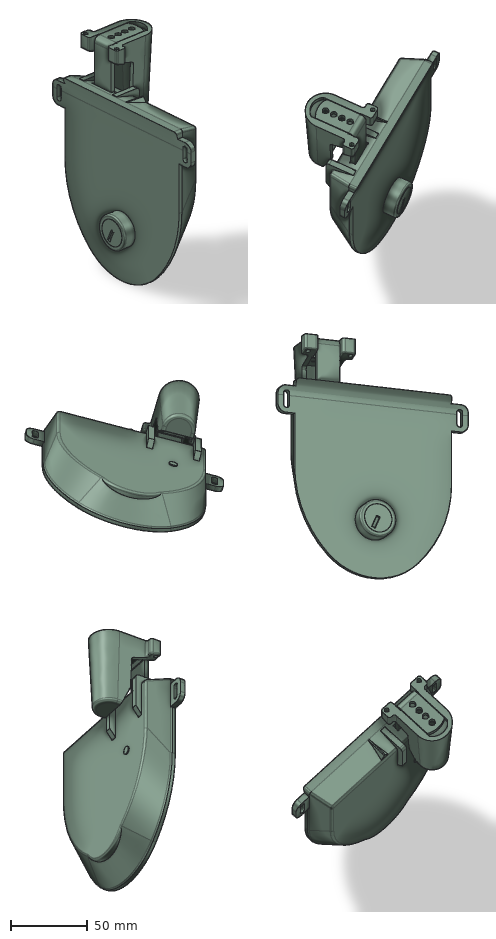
import cadquery as cq
import math

FLARE_Y = -21.8
FRONT_Y = -19.4
RIM_REAR_Y = -17.0
EAR_REAR_Y = -15.8
REAR_Y = 0.8

HALF_HEIGHT = 81.5
COVER_TOP = 48.4
RIM_HALF_WIDTH = 55.3
RIM_BOTTOM_RADIUS = 44.8
BODY_INSET = 0.7
REAR_HALF_WIDTH = 50.2
REAR_TOP = 43.7
REAR_BOTTOM = -62.9
REAR_BOTTOM_RADIUS = 32.6
RIM_TANGENT_Z = -11.4
REAR_TANGENT_Z = 6.5
FLARE_START_Z = 36.3
BODY_FILLET = 2.0
LIP_CORNER_RADIUS = 2.0
LIP_HALF_WIDTH = 54.8

EAR_HALF_SPAN = 67.0
EAR_TOP = 43.2
EAR_BOTTOM = 24.8
EAR_RADIUS = 5.4
SLOT_X = 61.0
SLOT_WIDTH = 4.0
SLOT_LENGTH = 11.9

LOCK_Z = -43.2
LOCK_RADIUS = 12.7
LOCK_FRONT_Y = -28.4
LOCK_FILLET = 1.1
PLUG_RADIUS = 9.6
PLUG_RECESS = 0.2
KEY_WIDTH = 2.5
KEY_LENGTH = 8.6
KEY_DEPTH = 1.6
KEY_ANGLE = 24.0
KEY_X = -1.5
KEY_Z = -46.0
LOCK_BOSS_RADIUS = 24.5
LOCK_BOSS_FILLET = 1.6

LATCH_X = -28.0
LATCH_HALF_WIDTH = 18.0

RIB_WIDTH = 4.0
RIB_FRONT_Y = -14.8
RIB_REAR_Y = 5.4
RIB_FILLET = 2.5
RIB_FOOT_Z = 23.6
RIB_END_Z = 18.0
FIN_HALF_WIDTH = 4.9
FIN_RIDGE_HALF_WIDTH = 0.5
FIN_TIP_HALF_WIDTH = 0.8
FIN_REAR_Y = -0.7
FIN_TOP = 47.6

STRAP_HALF_WIDTH = 8.0
STRAP_THICKNESS = 3.3
STRAP_FRONT_Y = -10.8
STRAP_BOTTOM = -6.5
STRAP_BEND = 4.5
STRAP_END_Y = 20.5
STRAP_END_RADIUS = 16.5
STRAP_HOLE_RADIUS = 2.1
HOLE_REAR_Y = 15.0
HOLE_PITCH = 6.0
HOLE_COUNT = 4
STRAP_SLOT_FRONT_Y = -11.9
STRAP_SLOT_SIDE_GAP = 1.1
SCREW_RADIUS = 2.8
SCREW_Z = -0.5
SCREW_REAR_Y = 1.6

CUP_BOTTOM = 26.4
CUP_CENTRE_Y = 15.0
CUP_RADIUS = 13.4
CUP_WALL = 3.1
CUP_TAPER = 2.7
CUP_FRONT_Y = -14.7
CUP_LEG_Y = 5.2
CUP_LEG_BREAK_Z = 41.5
CUP_LEG_BOTTOM_Y = 12.0
CUP_ARM_FRONT_Z = 71.4
CUP_ARM_REAR_Z = 64.9
CUP_ARM_FILLET = 2.5
CUP_CEILING = 72.5
CUP_CAVITY_FRONT_Y = -5.2
CUP_BOTTOM_FILLET = 2.6
RECESS_HALF_WIDTH = 8.3
ARM_GAP_HALF_WIDTH = 8.6
ARM_GAP_REAR_Y = -6.0
BLOCK_REAR_Y = -6.5
BLOCK_FILLET = 1.6
BLOCK_LOWER_FILLET = 1.1
BLOCK_EDGE_LOW_Z = 69.8
BLOCK_EDGE_HIGH_Z = 79.9
SELECT_MARGIN = 0.2
PIN_HOLE_SPACING = 29.8
PIN_HOLE_Y = -12.0
PIN_HOLE_RADIUS = 1.5
CUP_HOLE_RADIUS = 1.6
CUP_HOLE_PLACES = (0, 2)


def box(x_range, y_range, z_range):
    """Box between the given limits."""
    size = [limits[1] - limits[0] for limits in (x_range, y_range, z_range)]
    corner = (x_range[0], y_range[0], z_range[0])
    return cq.Workplane("XY").box(*size, centered=False).translate(corner)


def rod_y(x, z, radius, y_front, y_rear):
    """Cylinder along Y."""
    plane = cq.Workplane("XZ", origin=(x, y_rear, z))
    return plane.circle(radius).extrude(y_rear - y_front)


def side_profile(points, x_start, width):
    """Prism along X from an outline of (Y, Z) points."""
    return cq.Workplane("YZ", origin=(x_start, 0, 0)).polyline(points).close().extrude(width)



def shield(y, half_width, top, bottom, bottom_radius, tangent_z):
    """Shield wire at level y: straight top and sides, then tangent side arcs and a bottom arc."""
    bottom_centre = bottom + bottom_radius
    drop = tangent_z - bottom_centre
    side_radius = (half_width**2 + drop**2 - bottom_radius**2) / (2 * (half_width - bottom_radius))
    side_centre = half_width - side_radius
    join_angle = math.atan2(-drop, -side_centre)

    def side_point(angle):
        x = side_centre + side_radius * math.cos(angle)
        return x, tangent_z + side_radius * math.sin(angle)

    middle = side_point(join_angle / 2)
    join = side_point(join_angle)
    return (
        cq.Workplane("XZ", origin=(0, y, 0))
        .moveTo(-half_width, top)
        .lineTo(half_width, top)
        .lineTo(half_width, tangent_z)
        .threePointArc(middle, join)
        .threePointArc((0, bottom), (-join[0], join[1]))
        .threePointArc((-middle[0], middle[1]), (-half_width, tangent_z))
        .close()
        .wire()
        .val()
    )


def ruled_solid(front_wire, rear_wire):
    return cq.Workplane(cq.Solid.makeLoft([front_wire, rear_wire], True))


def rim_outline():
    return shield(
        RIM_REAR_Y, RIM_HALF_WIDTH, COVER_TOP, -HALF_HEIGHT, RIM_BOTTOM_RADIUS, RIM_TANGENT_Z
    )


def trim_lip(cover):
    """Narrow the top lip above the ears and round its upper corners."""
    lip_space = (
        box((-LIP_HALF_WIDTH, LIP_HALF_WIDTH), (FLARE_Y, EAR_REAR_Y), (EAR_TOP, COVER_TOP))
        .edges("|Y and >Z")
        .fillet(LIP_CORNER_RADIUS)
    )
    around_lip = box(
        (-EAR_HALF_SPAN, EAR_HALF_SPAN), (FLARE_Y, EAR_REAR_Y), (EAR_TOP, COVER_TOP)
    ).cut(lip_space)
    return cover.cut(around_lip)


def make_body():
    """Tapered body behind the rim, rounded along its rear and upper side edges."""
    front = shield(
        EAR_REAR_Y,
        RIM_HALF_WIDTH - BODY_INSET,
        COVER_TOP,
        BODY_INSET - HALF_HEIGHT,
        RIM_BOTTOM_RADIUS - BODY_INSET,
        RIM_TANGENT_Z,
    )
    rear = shield(
        REAR_Y, REAR_HALF_WIDTH, REAR_TOP, REAR_BOTTOM, REAR_BOTTOM_RADIUS, REAR_TANGENT_Z
    )
    body = ruled_solid(front, rear)
    upper_corners = cq.selectors.BoxSelector(
        (-RIM_HALF_WIDTH, EAR_REAR_Y + SELECT_MARGIN, REAR_TOP + SELECT_MARGIN),
        (RIM_HALF_WIDTH, REAR_Y - SELECT_MARGIN, COVER_TOP - SELECT_MARGIN),
    )
    body = body.edges(upper_corners).fillet(BODY_FILLET)
    body = body.faces(">Y").edges().fillet(BODY_FILLET)
    return body.union(ruled_solid(rim_outline(), front))


def make_rim_and_ears():
    """Front plate with two slotted ears and a top lip that curves forward."""
    depth = RIM_REAR_Y - FLARE_Y
    rim = cq.Workplane(cq.Solid.extrudeLinear(rim_outline(), [], cq.Vector(0, -depth, 0)))
    ears = box(
        (-EAR_HALF_SPAN, EAR_HALF_SPAN), (FLARE_Y, EAR_REAR_Y), (EAR_BOTTOM, EAR_TOP)
    ).edges("|Y").fillet(EAR_RADIUS)
    slots = (
        cq.Workplane("XZ", origin=(0, EAR_REAR_Y, (EAR_TOP + EAR_BOTTOM) / 2))
        .pushPoints([(-SLOT_X, 0), (SLOT_X, 0)])
        .slot2D(SLOT_LENGTH, SLOT_WIDTH, 90)
        .extrude(EAR_REAR_Y - FLARE_Y)
    )
    rise = COVER_TOP - FLARE_START_Z
    flare = FRONT_Y - FLARE_Y
    flare_radius = (rise**2 + flare**2) / (2 * flare)
    half_angle = math.atan2(flare, rise)
    middle = (
        FRONT_Y - flare_radius * (1 - math.cos(half_angle)),
        FLARE_START_Z + flare_radius * math.sin(half_angle),
    )
    in_front = (
        cq.Workplane("YZ", origin=(-EAR_HALF_SPAN, 0, 0))
        .moveTo(FRONT_Y, -HALF_HEIGHT)
        .lineTo(FRONT_Y, FLARE_START_Z)
        .threePointArc(middle, (FLARE_Y, COVER_TOP))
        .lineTo(FLARE_Y, -HALF_HEIGHT)
        .close()
        .extrude(2 * EAR_HALF_SPAN)
    )
    return rim.union(ears).cut(slots).cut(in_front)


def make_rib(x_start):
    """Upright wall beside the strap, with a sloped foot."""
    rib = side_profile(
        [
            (RIB_FRONT_Y, COVER_TOP),
            (RIB_REAR_Y, COVER_TOP),
            (RIB_REAR_Y, RIB_FOOT_Z),
            (REAR_Y, RIB_END_Z),
            (RIB_FRONT_Y, RIB_END_Z),
        ],
        x_start,
        RIB_WIDTH,
    )
    return rib.edges("|X and >Z and >Y").fillet(RIB_FILLET)


def make_fin():
    """Fin on the sloped top that narrows toward the lip and has a narrow flat ridge."""

    def section(y, half_width, base_z, top_z):
        corners = [
            (-half_width, base_z),
            (half_width, base_z),
            (FIN_RIDGE_HALF_WIDTH, top_z),
            (-FIN_RIDGE_HALF_WIDTH, top_z),
        ]
        return cq.Wire.makePolygon([cq.Vector(x, y, z) for x, z in corners], close=True)

    rear = section(FIN_REAR_Y, FIN_HALF_WIDTH, REAR_TOP - BODY_FILLET, FIN_TOP)
    tip = section(EAR_REAR_Y, FIN_TIP_HALF_WIDTH, COVER_TOP - BODY_FILLET, COVER_TOP)
    return ruled_solid(rear, tip)


def add_lock(cover):
    """Lock barrel with a plug face and a tilted key slot, and its round boss at the rear."""
    boss = rod_y(0, LOCK_Z, LOCK_BOSS_RADIUS, EAR_REAR_Y, REAR_Y)
    boss = boss.faces(">Y").edges().fillet(LOCK_BOSS_FILLET)
    barrel = rod_y(0, LOCK_Z, LOCK_RADIUS, LOCK_FRONT_Y, EAR_REAR_Y)
    barrel = barrel.faces("<Y").edges().fillet(LOCK_FILLET)
    plug_y = LOCK_FRONT_Y + PLUG_RECESS
    plug_recess = rod_y(0, LOCK_Z, PLUG_RADIUS, LOCK_FRONT_Y, plug_y)
    key_slot = (
        cq.Workplane("XZ", origin=(KEY_X, plug_y + KEY_DEPTH, KEY_Z))
        .transformed(rotate=(0, 0, -KEY_ANGLE))
        .rect(KEY_WIDTH, KEY_LENGTH)
        .extrude(KEY_DEPTH + PLUG_RECESS)
    )
    return cover.union(boss).union(barrel).cut(plug_recess).cut(key_slot)


def make_cover():
    cover = trim_lip(make_rim_and_ears().union(make_body()))
    cover = cover.union(make_rib(LATCH_X - LATCH_HALF_WIDTH))
    cover = cover.union(make_rib(LATCH_X + LATCH_HALF_WIDTH - RIB_WIDTH))
    cover = cover.union(make_fin())
    cover = cover.union(rod_y(LATCH_X, SCREW_Z, SCREW_RADIUS, 0, SCREW_REAR_Y))
    cover = add_lock(cover)
    slot_half_width = STRAP_HALF_WIDTH + STRAP_SLOT_SIDE_GAP
    strap_slot = box(
        (LATCH_X - slot_half_width, LATCH_X + slot_half_width),
        (STRAP_SLOT_FRONT_Y, STRAP_FRONT_Y + STRAP_THICKNESS),
        (STRAP_BOTTOM, COVER_TOP),
    )
    return cover.cut(strap_slot)



def hole_rods(places, radius, bottom_z):
    """Vertical rods through the chosen places of the row of holes along the strap's top."""
    points = [(LATCH_X, HOLE_REAR_Y - HOLE_PITCH * i) for i in places]
    plane = cq.Workplane("XY", origin=(0, 0, bottom_z))
    return plane.pushPoints(points).circle(radius).extrude(HALF_HEIGHT - bottom_z)


def make_strap():
    """Flat strap, bent to the rear at the top, with a round end and a row of holes."""
    rear_y = STRAP_FRONT_Y + STRAP_THICKNESS
    under_z = HALF_HEIGHT - STRAP_THICKNESS
    strap = side_profile(
        [
            (STRAP_FRONT_Y, STRAP_BOTTOM),
            (STRAP_FRONT_Y, HALF_HEIGHT),
            (STRAP_END_Y, HALF_HEIGHT),
            (STRAP_END_Y, under_z),
            (rear_y, under_z),
            (rear_y, STRAP_BOTTOM),
        ],
        LATCH_X - STRAP_HALF_WIDTH,
        2 * STRAP_HALF_WIDTH,
    )
    strap = strap.edges("|X and >Z and <Y").fillet(STRAP_BEND)
    inner_bend = cq.selectors.NearestToPointSelector((LATCH_X, rear_y, under_z))
    strap = strap.edges(inner_bend).fillet(STRAP_BEND - STRAP_THICKNESS)
    end_centre_y = STRAP_END_Y - STRAP_END_RADIUS
    end_disc = cq.Workplane("XY").center(LATCH_X, end_centre_y)
    end_disc = end_disc.circle(STRAP_END_RADIUS).extrude(HALF_HEIGHT)
    lower_part = box(
        (LATCH_X - STRAP_HALF_WIDTH, LATCH_X + STRAP_HALF_WIDTH),
        (STRAP_FRONT_Y, end_centre_y),
        (STRAP_BOTTOM, HALF_HEIGHT),
    )
    strap = strap.intersect(end_disc.union(lower_part))
    return strap.cut(hole_rods(range(HOLE_COUNT), STRAP_HOLE_RADIUS, under_z))



def tapered_u(radius, front_y, top_z, bottom_z):
    """U shape, round to the rear, that narrows downward from its size at the cup's top."""
    length = HALF_HEIGHT - bottom_z
    early_front = front_y - length * math.tan(math.radians(CUP_TAPER))
    u_shape = (
        cq.Workplane("XY", origin=(LATCH_X, 0, HALF_HEIGHT))
        .moveTo(-radius, early_front)
        .lineTo(radius, early_front)
        .lineTo(radius, CUP_CENTRE_Y)
        .threePointArc((0, CUP_CENTRE_Y + radius), (-radius, CUP_CENTRE_Y))
        .close()
        .extrude(-length, taper=CUP_TAPER)
    )
    limits = box(
        (LATCH_X - radius, LATCH_X + radius),
        (front_y, CUP_CENTRE_Y + radius),
        (bottom_z, top_z),
    )
    return u_shape.intersect(limits)


def cup_side_profile():
    """Side outline of the cup: forward arms at the top and a leg with a sloped front at the bottom."""
    rear_y = CUP_CENTRE_Y + CUP_RADIUS
    profile = side_profile(
        [
            (CUP_FRONT_Y, HALF_HEIGHT),
            (CUP_FRONT_Y, CUP_ARM_FRONT_Z),
            (CUP_LEG_Y, CUP_ARM_REAR_Z),
            (CUP_LEG_Y, CUP_LEG_BREAK_Z),
            (CUP_LEG_BOTTOM_Y, CUP_BOTTOM),
            (rear_y, CUP_BOTTOM),
            (rear_y, HALF_HEIGHT),
        ],
        LATCH_X - LATCH_HALF_WIDTH,
        2 * LATCH_HALF_WIDTH,
    )
    arm_corner = cq.selectors.NearestToPointSelector((LATCH_X, CUP_LEG_Y, CUP_ARM_REAR_Z))
    return profile.edges(arm_corner).fillet(CUP_ARM_FILLET)


def round_blocks(cup):
    """Round the front corners, lower front edges and upright rear edges of the two blocks."""
    cup = cup.faces("<Y").edges("|Z").fillet(BLOCK_FILLET)
    cup = cup.faces("<Y").edges("<Z").fillet(BLOCK_LOWER_FILLET)
    rear_edges = cq.selectors.BoxSelector(
        (LATCH_X - 2 * CUP_RADIUS, BLOCK_REAR_Y - SELECT_MARGIN, BLOCK_EDGE_LOW_Z),
        (LATCH_X + 2 * CUP_RADIUS, BLOCK_REAR_Y + SELECT_MARGIN, BLOCK_EDGE_HIGH_Z),
    )
    return cup.edges(rear_edges).fillet(BLOCK_FILLET)


def make_cup():
    cup = tapered_u(CUP_RADIUS, CUP_FRONT_Y, HALF_HEIGHT, CUP_BOTTOM)
    blocks = box(
        (LATCH_X - LATCH_HALF_WIDTH, LATCH_X + LATCH_HALF_WIDTH),
        (CUP_FRONT_Y, BLOCK_REAR_Y),
        (CUP_ARM_REAR_Z, HALF_HEIGHT),
    )
    arm_gap = box(
        (LATCH_X - ARM_GAP_HALF_WIDTH, LATCH_X + ARM_GAP_HALF_WIDTH),
        (CUP_FRONT_Y, ARM_GAP_REAR_Y),
        (CUP_BOTTOM, HALF_HEIGHT),
    )
    blocks = blocks.cut(arm_gap)
    cup = cup.cut(arm_gap).union(blocks).intersect(cup_side_profile())
    cup = round_blocks(cup)
    cup = cup.faces("<Z").edges("not(<Y)").fillet(CUP_BOTTOM_FILLET)

    inner_radius = CUP_RADIUS - CUP_WALL
    cavity = tapered_u(inner_radius, CUP_CAVITY_FRONT_Y, CUP_CEILING, CUP_BOTTOM + CUP_WALL)
    recess_end_y = math.sqrt(inner_radius**2 - RECESS_HALF_WIDTH**2)
    recess = (
        cq.Workplane("XY", origin=(LATCH_X, CUP_CENTRE_Y, HALF_HEIGHT))
        .moveTo(-RECESS_HALF_WIDTH, CUP_FRONT_Y - CUP_CENTRE_Y)
        .lineTo(RECESS_HALF_WIDTH, CUP_FRONT_Y - CUP_CENTRE_Y)
        .lineTo(RECESS_HALF_WIDTH, recess_end_y)
        .threePointArc((0, inner_radius), (-RECESS_HALF_WIDTH, recess_end_y))
        .close()
        .extrude(-STRAP_THICKNESS)
    )
    half_spacing = PIN_HOLE_SPACING / 2
    pin_holes = (
        cq.Workplane("XY")
        .pushPoints([(LATCH_X - half_spacing, PIN_HOLE_Y), (LATCH_X + half_spacing, PIN_HOLE_Y)])
        .circle(PIN_HOLE_RADIUS)
        .extrude(HALF_HEIGHT)
    )
    ceiling_holes = hole_rods(CUP_HOLE_PLACES, CUP_HOLE_RADIUS, CUP_CEILING)
    return cup.cut(cavity).cut(recess).cut(pin_holes).cut(ceiling_holes)


cover = make_cover()
strap = make_strap()
cup = make_cup()
result = cq.Compound.makeCompound([cover.val(), strap.val(), cup.val()])